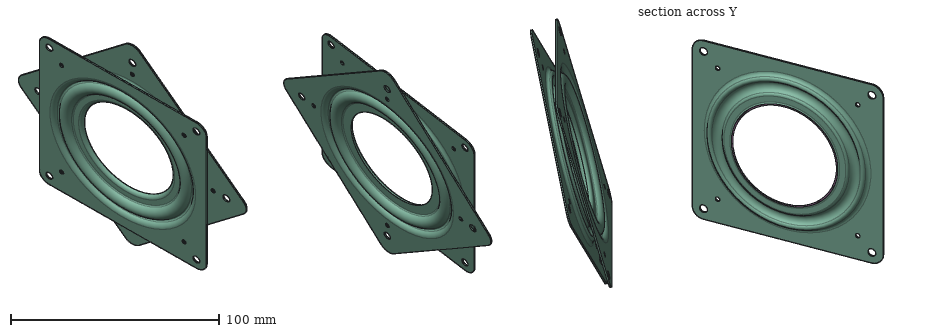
import cadquery as cq
import math


overall_span = 138.8
overall_depth = 8.2
plate_side = 101.7
sheet = 0.79
mount_hole_diameter = 4.2
small_hole_diameter = 2.4
front_mount_hole_offset = 44.8
front_small_hole_offset = 37.3
rear_mount_hole_offset = 40.5
rear_small_hole_offset = 34.8

race_radius = 44.4
dish_bend = 3.0
dish_slope = math.radians(70)
groove_bend = 0.7
crest_bend = 3.9

flange_recess = 3.0
bore_radius = 27.2

corner_radius = (plate_side * math.sqrt(2) - overall_span) / (2 * (math.sqrt(2) - 1))
front_face = -overall_depth / 2
lip_outer_radius = bore_radius + sheet
lip_bend = overall_depth - 2 * flange_recess

groove_depth = (dish_bend + groove_bend) * (1 - math.cos(dish_slope))
ridge_outer_slope = math.acos(1 - groove_depth / (crest_bend + groove_bend))
ridge_inner_slope = math.acos(1 - flange_recess / (crest_bend + groove_bend))


def race_arcs(inset):
    """Arcs (start, middle, end) of the race, going inwards, on the surface `inset` below the outer face.

    Points are (radius, y). A positive slope leads deeper into the part.
    """
    bends = [
        (dish_bend - inset, 0, dish_slope),
        (groove_bend + inset, dish_slope, -ridge_outer_slope),
        (crest_bend - inset, -ridge_outer_slope, ridge_inner_slope),
        (groove_bend + inset, ridge_inner_slope, 0),
    ]
    start = (race_radius, front_face + inset)
    arcs = []
    for bend, first, last in bends:
        signed_bend = math.copysign(bend, last - first)
        middle, end = [
            (start[0] - signed_bend * (math.sin(slope) - math.sin(first)),
             start[1] + signed_bend * (math.cos(first) - math.cos(slope)))
            for slope in ((first + last) / 2, last)
        ]
        arcs.append((start, middle, end))
        start = end
    return arcs


def pressed_ring(with_lip):
    """Race and inner flange as one turned sheet, optionally with the lip at the bore."""
    outer_arcs = race_arcs(0)
    inner_arcs = race_arcs(sheet)
    flange_front = front_face + flange_recess
    flange_back = flange_front + sheet

    profile = cq.Workplane("XY").moveTo(*outer_arcs[0][0])
    for _, middle, end in outer_arcs:
        profile = profile.threePointArc(middle, end)
    if with_lip:
        bend_radius = bore_radius + lip_bend
        lip_end = flange_front + lip_bend
        profile = (
            profile.lineTo(bend_radius, flange_front)
            .radiusArc((bore_radius, lip_end), lip_bend)
            .lineTo(lip_outer_radius, lip_end)
            .radiusArc((bend_radius, flange_back), sheet - lip_bend)
        )
    else:
        profile = profile.lineTo(lip_outer_radius, flange_front).lineTo(lip_outer_radius, flange_back)
    profile = profile.lineTo(*inner_arcs[-1][-1])
    for start, middle, _ in reversed(inner_arcs):
        profile = profile.threePointArc(middle, start)
    return profile.close().revolve(360, (0, 0), (0, 1))


def corner_points(offset):
    return [(x, z) for x in (-offset, offset) for z in (-offset, offset)]


def square_plate(mount_hole_offset, small_hole_offset):
    """Flat plate with its outer face on the front, opened for the race."""
    plate = (
        cq.Workplane("XZ", origin=(0, front_face, 0))
        .rect(plate_side, plate_side)
        .circle(race_radius)
        .extrude(-sheet)
        .edges("|Y and (>X or <X)")
        .fillet(corner_radius)
    )
    holes = ((mount_hole_offset, mount_hole_diameter), (small_hole_offset, small_hole_diameter))
    for offset, diameter in holes:
        drills = (
            cq.Workplane("XZ", origin=(0, front_face, 0))
            .pushPoints(corner_points(offset))
            .circle(diameter / 2)
            .extrude(-sheet)
        )
        plate = plate.cut(drills)
    return plate


front_plate = square_plate(front_mount_hole_offset, front_small_hole_offset)
rear_plate = square_plate(rear_mount_hole_offset, rear_small_hole_offset)
front_half = front_plate.union(pressed_ring(with_lip=True))
rear_half = (
    rear_plate.union(pressed_ring(with_lip=False))
    .mirror("XZ")
    .rotate((0, 0, 0), (0, 1, 0), 45)
)
result = front_half.union(rear_half).clean()